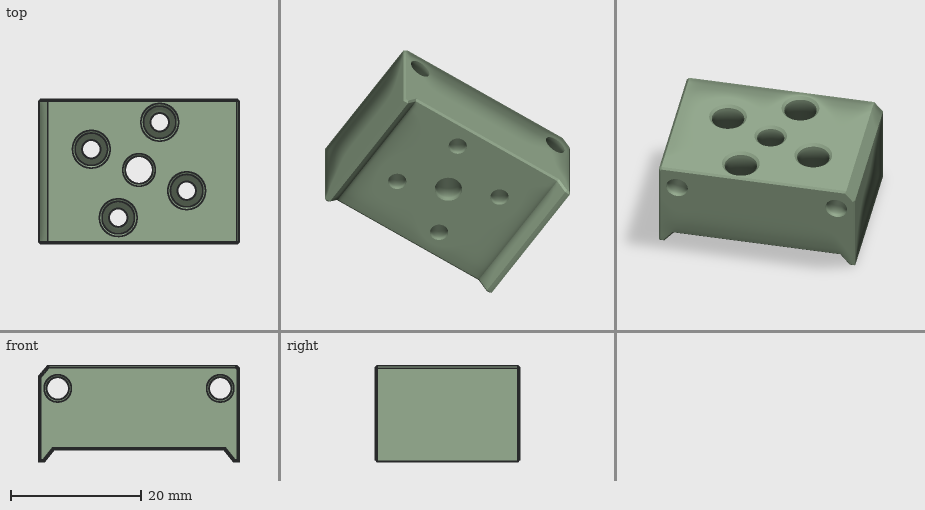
import cadquery as cq
import math

length = 30.8
width = 22.19
height = 14.75
half_length = length / 2

end_chamfer = 0.3
top_edge_chamfer = 0.4

bevel_run = 1.4
bevel_drop = 1.65

foot_height = 1.85
foot_tip_width = 0.85
foot_root_width = 2.33

mouth_chamfer = 0.4

cross_hole_diameter = 3.4
cross_hole_spacing = 25.0
cross_hole_drop = 3.5
cross_hole_z = height - cross_hole_drop

center_hole_diameter = 4.2
center_hole_y = 0.25
screw_hole_diameter = 2.8
counterbore_diameter = 5.0
counterbore_depth = 6.0
screw_circle_radius = 8.0
screw_count = 4
first_screw_angle = 66.5


def make_body():
    """Extrude the XZ profile across the width and chamfer its outline on both Y faces."""
    profile = [
        (-half_length, 0),
        (-half_length + foot_tip_width, 0),
        (-half_length + foot_root_width, foot_height),
        (half_length - foot_root_width, foot_height),
        (half_length - foot_tip_width, 0),
        (half_length, 0),
        (half_length, height - top_edge_chamfer),
        (half_length - top_edge_chamfer, height),
        (-half_length + bevel_run, height),
        (-half_length, height - bevel_drop),
    ]
    body = cq.Workplane("XZ").polyline(profile).close().extrude(width / 2, both=True)
    return body.faces("<Y or >Y").chamfer(end_chamfer)


def make_hole(diameter, depth, mouth, direction):
    """Cutter for a hole starting at the point mouth, with a chamfered mouth."""
    start = cq.Vector(*mouth)
    axis = cq.Vector(*direction)
    radius = diameter / 2
    bore = cq.Solid.makeCylinder(radius, depth, start, axis)
    cone = cq.Solid.makeCone(radius + mouth_chamfer, radius, mouth_chamfer, start, axis)
    return cq.Workplane(bore.fuse(cone))


def cut_cross_holes(body):
    """Two holes along Y through the upper corners, chamfered on the -Y face."""
    for side in (-1, 1):
        mouth = (side * cross_hole_spacing / 2, -width / 2, cross_hole_z)
        body = body.cut(make_hole(cross_hole_diameter, width, mouth, (0, 1, 0)))
    return body


def cut_center_hole(body):
    """Vertical through hole in the middle of the screw pattern."""
    mouth = (0, center_hole_y, height)
    return body.cut(make_hole(center_hole_diameter, height, mouth, (0, 0, -1)))


def cut_screw_holes(body):
    """Counterbored through holes equally spaced around the central hole."""
    for index in range(screw_count):
        angle = math.radians(first_screw_angle + index * 360 / screw_count)
        x = screw_circle_radius * math.cos(angle)
        y = center_hole_y + screw_circle_radius * math.sin(angle)
        counterbore = make_hole(counterbore_diameter, counterbore_depth, (x, y, height), (0, 0, -1))
        through_hole = cq.Workplane(origin=(x, y, 0)).circle(screw_hole_diameter / 2).extrude(height)
        body = body.cut(counterbore).cut(through_hole)
    return body


result = cut_screw_holes(cut_center_hole(cut_cross_holes(make_body())))